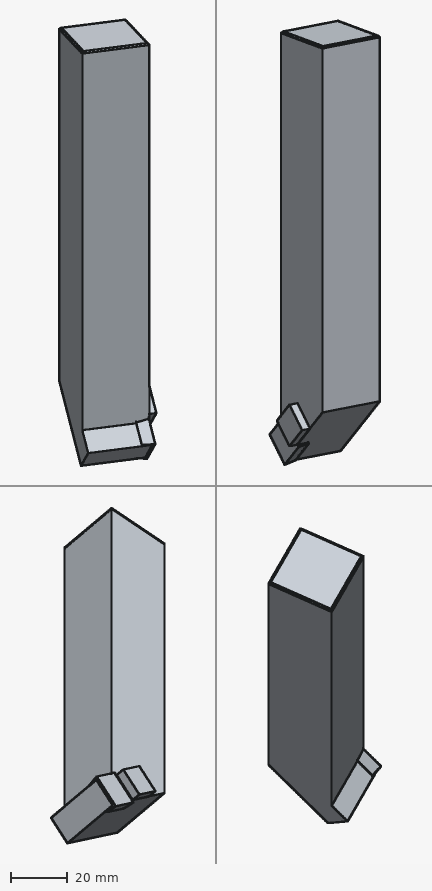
import cadquery as cq
import math

TOTAL_HEIGHT = 158.6
SHANK_SIDE = 25.0
TOP_CHAMFER = 0.6

INSERT_TIP_X = 23.0
INSERT_LEFT_REACH = 8.4
INSERT_RIGHT_REACH = 9.0
INSERT_THICKNESS = 4.8
INSERT_RECESS = 0.2
RELIEF_ANGLE = 7.0

HEAD_TIP_X = 23.6
HEAD_TIP_Z = 0.8
HEAD_CORNER_X = 31.4
HEAD_CORNER_Z = HEAD_TIP_Z + HEAD_CORNER_X - HEAD_TIP_X
BEVEL_TOP_Z = HEAD_TIP_Z + HEAD_TIP_X
NECK_Z = HEAD_CORNER_Z + HEAD_CORNER_X - SHANK_SIDE

PAD_HALF_DIAGONAL = 7.6
PAD_CENTER_X = 15.0
PAD_HEIGHT = 3.5
PAD_TIP_Z = BEVEL_TOP_Z - 2 * PAD_HALF_DIAGONAL


def tilted_rectangle(tip_x, y, tip_z, left_reach, right_reach):
    """Rectangle standing on its lowest corner at 45 degrees, in the XZ plane at height y."""
    return (
        cq.Workplane("XZ", origin=(tip_x, y, tip_z))
        .polyline([
            (0, 0),
            (right_reach, right_reach),
            (right_reach - left_reach, right_reach + left_reach),
            (-left_reach, left_reach),
        ])
        .close()
    )


def insert_outline(y, inset=0.0):
    """Insert outline at height y, its cutting end and its two sides moved inward by the inset."""
    tip_rise = inset * math.sqrt(2)
    return tilted_rectangle(
        INSERT_TIP_X,
        y,
        tip_rise,
        INSERT_LEFT_REACH - tip_rise / 2,
        INSERT_RIGHT_REACH - tip_rise,
    )


def make_insert():
    """Rake face toward +Y; relief on the cutting end and both sides, square at the inner end."""
    rake_y = SHANK_SIDE - INSERT_RECESS
    relief_inset = INSERT_THICKNESS * math.tan(math.radians(RELIEF_ANGLE))
    rake_face = insert_outline(rake_y).wires().val()
    seat_face = insert_outline(rake_y - INSERT_THICKNESS, relief_inset).wires().val()
    return cq.Workplane(cq.Solid.makeLoft([rake_face, seat_face], True))


def make_pocket():
    """Insert-shaped seat, carried straight out through the back of the head."""
    mouth = insert_outline(SHANK_SIDE).extrude(INSERT_RECESS)
    return make_insert().union(mouth)


def make_holder():
    """Square shank with an angled head, a clamping pad and the insert seat."""
    shank = (
        cq.Workplane("XZ")
        .polyline([
            (0, TOTAL_HEIGHT),
            (SHANK_SIDE, TOTAL_HEIGHT),
            (SHANK_SIDE, NECK_Z),
            (HEAD_CORNER_X, HEAD_CORNER_Z),
            (HEAD_TIP_X, HEAD_TIP_Z),
            (0, BEVEL_TOP_Z),
        ])
        .close()
        .extrude(-SHANK_SIDE)
        .faces(">Z")
        .chamfer(TOP_CHAMFER)
    )
    pad = tilted_rectangle(
        PAD_CENTER_X, SHANK_SIDE, PAD_TIP_Z, PAD_HALF_DIAGONAL, PAD_HALF_DIAGONAL
    ).extrude(-PAD_HEIGHT)
    return shank.cut(make_pocket()).union(pad)


holder = make_holder()
insert = make_insert()

result = cq.Compound.makeCompound([holder.val(), insert.val()])